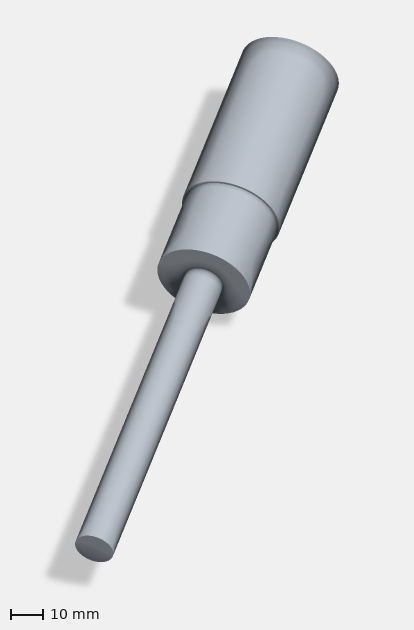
import cadquery as cq

total_length = 199.0
body_diameter = 32.0
body_length = 60.0
collar_diameter = 30.5
collar_length = 27.7
rod_diameter = 12.5
rod_length = total_length - body_length - collar_length


def cylinder_along_y(start, length, diameter):
    """Solid cylinder on the Y axis, from start toward +Y."""
    axis_plane = cq.Plane(origin=(0, start, 0), xDir=(1, 0, 0), normal=(0, 1, 0))
    return cq.Workplane(axis_plane).circle(diameter / 2).extrude(length)


collar_start = rod_length
body_start = collar_start + collar_length

rod = cylinder_along_y(0, rod_length, rod_diameter)
collar = cylinder_along_y(collar_start, collar_length, collar_diameter)
body = cylinder_along_y(body_start, body_length, body_diameter)

result = rod.union(collar).union(body)